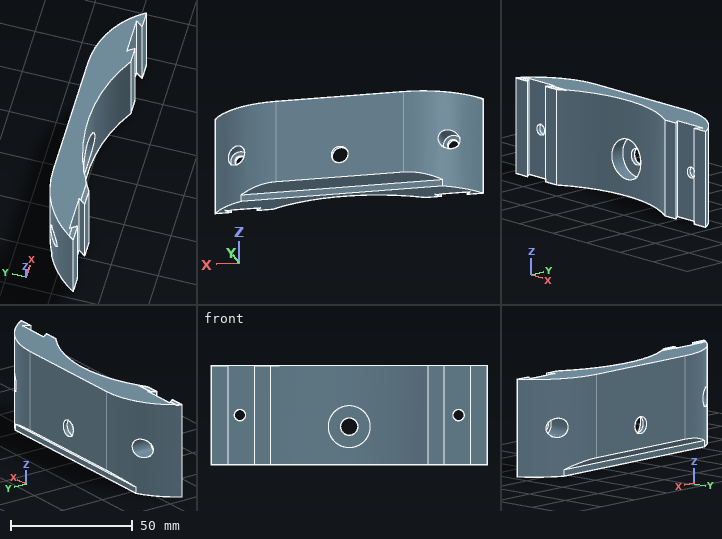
import cadquery as cq

LENGTH = 113.4
DEPTH = 16.9
HEIGHT = 40.9

BACK_FLAT_HALF = 26.9
ARCH_HALF_SPAN = 32.3
ARCH_RISE = 9.4

SLOT_CENTER_X = 44.3
SLOT_MOUTH = 10.9
SLOT_FLOOR = 15.0
SLOT_DEPTH = 3.0

PAD_DEPTH = 2.0
PAD_THICKNESS = 0.2

BORE_DIAMETER = 7.0
BORE_RECESS_DIAMETER = 17.2
BORE_RECESS_FLOOR_Y = 15.0
BORE_Z = 15.8
SCREW_DIAMETER = 4.5
SCREW_HEAD_DIAMETER = 8.0
SCREW_SEAT_Y = 4.5
SCREW_X = 44.9
SCREW_Z = HEIGHT / 2

REBATE_DEPTH = 3.7
REBATE_HEIGHT = 2.7
REBATE_BEVEL_TOP = 6.0


def circle_radius(half_chord, rise):
    """Radius of a circle whose chord stands the given rise from its crown."""
    return (half_chord**2 + rise**2) / (2 * rise)


def height_on_circle(offset, radius, crown):
    """Y of the circle with its crown at Y = crown, at an X offset from its centre."""
    return crown - radius + (radius**2 - offset**2) ** 0.5


def make_body_blank():
    """Arched plate with a flat back and ends that curve down to the front."""
    end = LENGTH / 2
    end_run = end - BACK_FLAT_HALF
    end_radius = circle_radius(end_run, DEPTH)
    mid_run = end_run / 2
    mid_x = BACK_FLAT_HALF + mid_run
    mid_y = height_on_circle(mid_run, end_radius, DEPTH)
    return (
        cq.Workplane("XY")
        .moveTo(-end, 0)
        .threePointArc((-mid_x, mid_y), (-BACK_FLAT_HALF, DEPTH))
        .lineTo(BACK_FLAT_HALF, DEPTH)
        .threePointArc((mid_x, mid_y), (end, 0))
        .lineTo(ARCH_HALF_SPAN, 0)
        .threePointArc((0, ARCH_RISE), (-ARCH_HALF_SPAN, 0))
        .close()
        .extrude(HEIGHT)
    )


def make_slot_cutter(center_x):
    """Dovetail prism, wider at its floor than at its mouth."""
    return (
        cq.Workplane("XY")
        .polyline([
            (center_x - SLOT_MOUTH / 2, 0),
            (center_x - SLOT_FLOOR / 2, SLOT_DEPTH),
            (center_x + SLOT_FLOOR / 2, SLOT_DEPTH),
            (center_x + SLOT_MOUTH / 2, 0),
        ])
        .close()
        .extrude(HEIGHT)
    )


def make_hole_cutter(diameter, x, z, y_start, y_end):
    """Cylinder along +Y from y_start to y_end."""
    return cq.Workplane(cq.Solid.makeCylinder(
        diameter / 2, y_end - y_start, cq.Vector(x, y_start, z), cq.Vector(0, 1, 0)
    ))


def make_rebate_cutter():
    """Step with a bevelled top along the whole lower back edge."""
    return (
        cq.Workplane("YZ", origin=(-LENGTH / 2, 0, 0))
        .polyline([
            (DEPTH, 0),
            (DEPTH - REBATE_DEPTH, 0),
            (DEPTH - REBATE_DEPTH, REBATE_HEIGHT),
            (DEPTH, REBATE_BEVEL_TOP),
        ])
        .close()
        .extrude(LENGTH)
    )


def make_shape():
    """The complete bracket before the pads are parted from it."""
    shape = make_body_blank().cut(make_rebate_cutter())
    for side in (-1, 1):
        shape = shape.cut(make_slot_cutter(side * SLOT_CENTER_X))
        screw_x = side * SCREW_X
        shape = shape.cut(make_hole_cutter(SCREW_DIAMETER, screw_x, SCREW_Z, 0, DEPTH))
        shape = shape.cut(make_hole_cutter(SCREW_HEAD_DIAMETER, screw_x, SCREW_Z, SCREW_SEAT_Y, DEPTH))
    shape = shape.cut(make_hole_cutter(BORE_DIAMETER, 0, BORE_Z, 0, DEPTH))
    return shape.cut(make_hole_cutter(BORE_RECESS_DIAMETER, 0, BORE_Z, 0, BORE_RECESS_FLOOR_Y))


def make_pad_region(x_start, x_end):
    """Block that bounds one pad at the front of the top face."""
    return cq.Workplane("XY").box(x_end - x_start, PAD_DEPTH, PAD_THICKNESS, centered=False).translate(
        (x_start, 0, HEIGHT - PAD_THICKNESS)
    )


def make_pad(shape, region):
    """Part of the complete bracket inside one pad region."""
    return shape.intersect(region)


shape = make_shape()

pad_spans = [(-LENGTH / 2, -SLOT_CENTER_X), (-SLOT_CENTER_X, 0)]
bracket = shape
pads = []
for x_start, x_end in pad_spans:
    region = make_pad_region(x_start, x_end)
    pads.append(make_pad(shape, region).val().Solids()[0])
    bracket = bracket.cut(region)

result = cq.Compound.makeCompound([bracket.val().Solids()[0], *pads])